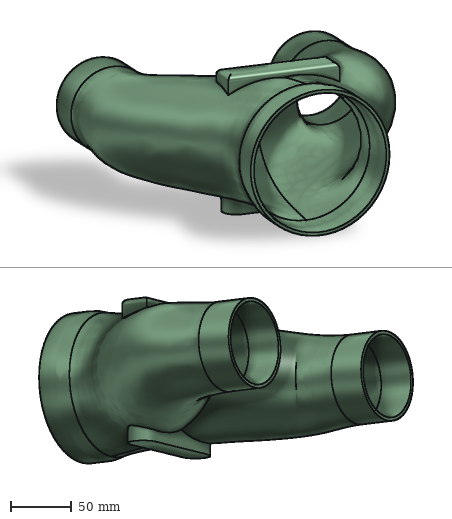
import cadquery as cq
import math


wall = 3.0
inlet_diameter = 75.0
inlet_radius = inlet_diameter / 2
inlet_length = 30.0
inlet_offset = 95.2
outlet_diameter = 125.0
outlet_radius = outlet_diameter / 2
outlet_end = 240.0
collar_length = 17.0
collar_start = outlet_end - collar_length
neck_x = 211.0
neck_radius = 60.0
flare_bulge = 0.7

diagonal_heading = -45.0
turn_heading = -18.0
bend_start = (58.2, 94.7)
bend_middle = (78.5, 92.0)
bend_end = (94.7, 82.8)
diagonal_run = 40.5
diagonal_end = (bend_end[0] + diagonal_run, bend_end[1] - diagonal_run)
turn_point = (181.3, 5.5)
neck_centre = (neck_x, 0)
bend_start_radius = 39.5

pad_x = 152.5
pad_width = 25.0
pad_length = 100.0
pad_height = 60.0
label_edge_radius = 5.0

half_space_size = 2 * outlet_end


def tapered_radius(x):
    """Outer arm radius, growing evenly from the start of the bend to the neck."""
    taper = (neck_radius - bend_start_radius) / (neck_x - bend_start[0])
    return bend_start_radius + taper * (x - bend_start[0])


def arm_section(point, heading, radius):
    """Circle around an axis point, square to the heading in degrees within the XY plane."""
    angle = math.radians(heading)
    plane = cq.Plane(
        origin=(*point, 0), xDir=(0, 0, -1), normal=(math.cos(angle), math.sin(angle), 0)
    )
    return cq.Workplane(plane).circle(radius).val()


def arm_loft(inset):
    """Smooth solid through all arm sections, with every radius reduced by the inset."""
    axis = [
        (bend_start, 0),
        (bend_middle, diagonal_heading / 2),
        (bend_end, diagonal_heading),
        (diagonal_end, diagonal_heading),
        (turn_point, turn_heading),
        (neck_centre, 0),
    ]
    sections = [arm_section((inlet_length, inlet_offset), 0, inlet_radius - inset)]
    for point, heading in axis:
        sections.append(arm_section(point, heading, tapered_radius(point[0]) - inset))
    solid = cq.occ_impl.shapes.loft(sections, cap=True, compat=False, parametrization="chordal")
    return cq.Workplane(obj=solid)


def positive_y_half(body):
    """Part of a body on the +Y side of the plane of symmetry."""
    half_space = cq.Workplane().box(
        half_space_size, half_space_size, half_space_size, centered=(True, False, True)
    )
    return body.intersect(half_space)


def make_arm_envelope():
    """Outside shape of the arm on the +Y side, without its bore."""
    return positive_y_half(arm_loft(0))


def make_arm(envelope):
    """Hollow arm on the +Y side, ending at the plane of symmetry."""
    return envelope.cut(arm_loft(wall))


def make_inlet(y):
    """Straight inlet sleeve with its axis at the given Y."""
    return (
        cq.Workplane("YZ")
        .center(y, 0)
        .circle(inlet_radius)
        .circle(inlet_radius - wall)
        .extrude(inlet_length)
    )


def outlet_profile(inset):
    """Half profile of the flared outlet, from the axis to the surface set in by the inset."""
    flare_middle_x = (neck_x + collar_start) / 2
    flare_middle_radius = neck_radius + flare_bulge * (outlet_radius - neck_radius)
    return (
        cq.Workplane("XY")
        .moveTo(neck_x, 0)
        .lineTo(neck_x, neck_radius - inset)
        .threePointArc(
            (flare_middle_x, flare_middle_radius - inset), (collar_start, outlet_radius - inset)
        )
        .lineTo(outlet_end, outlet_radius - inset)
        .lineTo(outlet_end, 0)
        .close()
    )


def make_outlet():
    """Outlet collar with the flare that widens it from the neck."""
    outside = outlet_profile(0).revolve(360, (0, 0, 0), (1, 0, 0))
    bore = outlet_profile(wall).revolve(360, (0, 0, 0), (1, 0, 0))
    return outside.cut(bore)


def seat_on_arms(block, envelopes):
    """Remove the part of a block that lies inside the arms."""
    for envelope in envelopes:
        block = block.cut(envelope)
    return block


def make_label(envelopes):
    """Block with rounded top edges, seated on the top of both arms."""
    block = (
        cq.Workplane("XY")
        .center(pad_x, 0)
        .rect(pad_width, pad_length)
        .extrude(pad_height)
        .faces(">Z")
        .edges()
        .fillet(label_edge_radius)
    )
    return seat_on_arms(block, envelopes)


def make_foot(envelopes):
    """Round-ended support pad, seated on the underside of both arms."""
    block = cq.Workplane("XY").center(pad_x, 0).slot2D(pad_length, pad_width, 90).extrude(-pad_height)
    return seat_on_arms(block, envelopes)


arm_envelope = make_arm_envelope()
envelopes = [arm_envelope, arm_envelope.mirror("XZ")]

arm = make_arm(arm_envelope)
arms = [arm, arm.mirror("XZ")]
inlets = [make_inlet(side * inlet_offset) for side in (1, -1)]
outlet = make_outlet()
label = make_label(envelopes)
foot = make_foot(envelopes)

bodies = [*arms, *inlets, outlet, label, foot]
result = cq.Compound.makeCompound([solid for body in bodies for solid in body.solids().vals()])